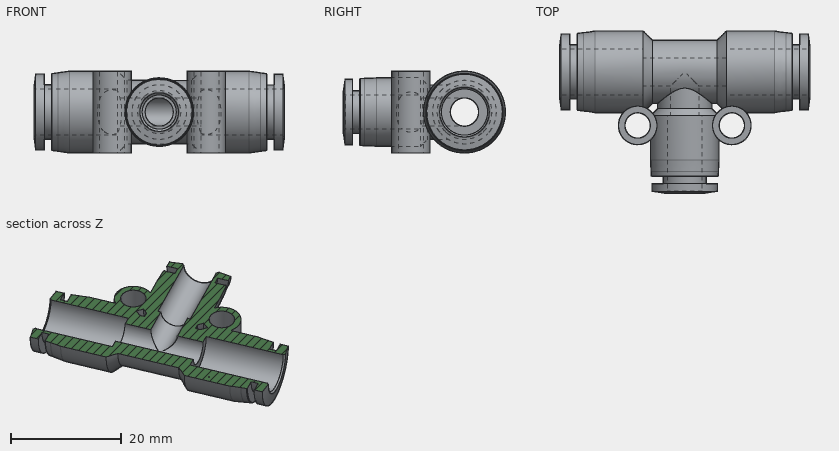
import cadquery as cq

run_half_length = 22.6
run_neck_radius = 5.75
run_body_radius = 14.8 / 2
run_shoulder_start = 5.85
run_shoulder_end = 7.5

overall_depth = 29.3
branch_length = overall_depth - run_body_radius
branch_neck_radius = 4.93
branch_body_radius = 6.2
branch_shoulder_start = 6.65
branch_shoulder_end = 7.9

flow_radius = 2.55
run_socket_radius = 4.15
branch_socket_radius = 3.07

collar_groove_width = 1.25
mouth_chamfer = 0.15
rim_width = 0.15

post_radius = 3.5
post_hole_radius = 2.25
post_offset_x = 8.5
post_offset_y = 9.67
post_height = 2 * run_body_radius


def revolve_profile(points):
    """Revolve a (radius, height) outline about the Z axis."""
    return cq.Workplane("XZ").polyline(points).close().revolve(360, (0, 0, 0), (0, 1, 0))


def arm(length, neck_radius, shoulder_start, shoulder_end, body_radius, taper_start,
        band_start, band_radius, mouth, mouth_radius, groove_radius, collar_radius,
        face_setback, rim_radius):
    """Solid arm along +Z: neck, shoulder, tapered body, groove and coned release collar."""
    collar_back = mouth + collar_groove_width
    return revolve_profile([
        (0, 0),
        (neck_radius, 0),
        (neck_radius, shoulder_start),
        (body_radius, shoulder_end),
        (body_radius, taper_start),
        (band_radius, band_start),
        (mouth_radius, mouth - mouth_chamfer),
        (mouth_radius - mouth_chamfer, mouth),
        (groove_radius, mouth),
        (groove_radius, collar_back),
        (collar_radius, collar_back),
        (collar_radius, length - face_setback),
        (rim_radius, length),
        (0, length),
    ])


def bore(length, socket_radius, socket_bottom, rim_radius):
    """Cutter along +Z: flow passage, tube socket and lead-in chamfer inside the rim."""
    lead_in_radius = rim_radius - rim_width
    lead_in_depth = lead_in_radius - socket_radius
    return revolve_profile([
        (0, 0),
        (flow_radius, 0),
        (flow_radius, socket_bottom),
        (socket_radius, socket_bottom),
        (socket_radius, length - lead_in_depth),
        (lead_in_radius, length),
        (0, length),
    ])


run_rim_radius = 4.6
run_arm = arm(
    run_half_length, run_neck_radius, run_shoulder_start, run_shoulder_end, run_body_radius,
    taper_start=16.23, band_start=18.25, band_radius=7.1, mouth=19.45, mouth_radius=6.95,
    groove_radius=4.93, collar_radius=6.85, face_setback=0.3, rim_radius=run_rim_radius,
)
run_bore = bore(run_half_length, run_socket_radius, run_shoulder_end, run_rim_radius)

branch_rim_radius = 3.6
branch_arm = arm(
    branch_length, branch_neck_radius, branch_shoulder_start, branch_shoulder_end, branch_body_radius,
    taper_start=15.9, band_start=18.0, band_radius=6.1, mouth=18.9, mouth_radius=6.05,
    groove_radius=3.9, collar_radius=5.9, face_setback=0.35, rim_radius=branch_rim_radius,
)
branch_bore = bore(branch_length, branch_socket_radius, branch_shoulder_end, branch_rim_radius)


def along_x(shape, side):
    """Turn a +Z shape to point along X; side is +1 or -1."""
    return shape.rotate((0, 0, 0), (0, 1, 0), side * 90)


def along_minus_y(shape):
    """Turn a +Z shape to point along -Y."""
    return shape.rotate((0, 0, 0), (1, 0, 0), 90)


body = along_x(run_arm, 1).union(along_x(run_arm, -1)).union(along_minus_y(branch_arm))
post_plane = cq.Workplane("XY", origin=(0, 0, -post_height / 2))
post_centers = [(-post_offset_x, -post_offset_y), (post_offset_x, -post_offset_y)]
posts = post_plane.pushPoints(post_centers).circle(post_radius).extrude(post_height)
body = body.union(posts)

bores = along_x(run_bore, 1).union(along_x(run_bore, -1)).union(along_minus_y(branch_bore))
post_holes = post_plane.pushPoints(post_centers).circle(post_hole_radius).extrude(post_height)
result = body.cut(bores).cut(post_holes)